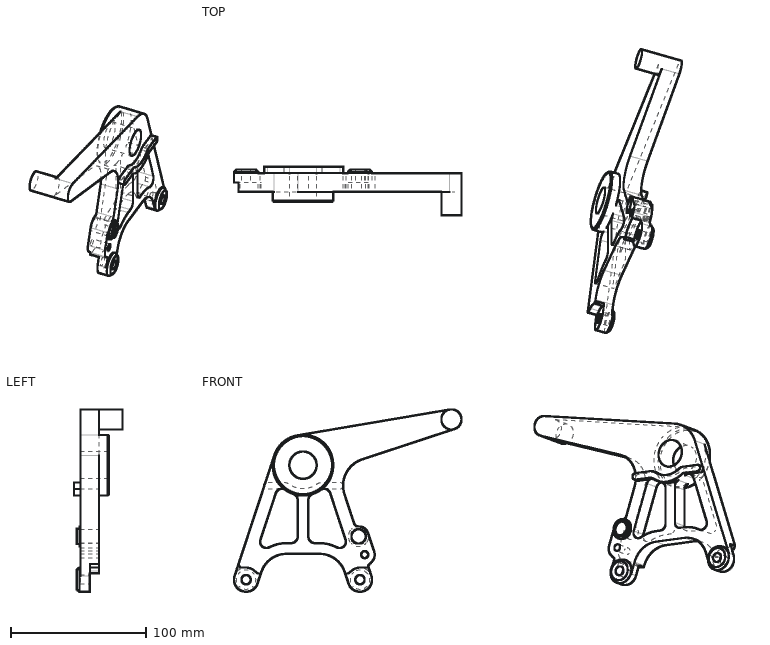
import cadquery as cq
import math


plate_thickness = 14.0
foot_front = -7.0
hub_front = -21.2
pin_front = -31.3
bar_back = 4.7
flange_back = 0.7
boss_back = 2.7

hub_radius = 45.0 / 2
hub_chamfer = 1.0
bore_diameter = 20.0
foot_radius = 18.0 / 2
foot_hole_diameter = 6.7
foot_bevel = 1.9
foot_x = 42.0
foot_z = -84.6
tip_radius = 15.0 / 2
tip = (109.7, 33.8)
hub = (0.0, 0.0)
left_foot = (-foot_x, foot_z)
right_foot = (foot_x, foot_z)

elbow_radius = 20.2
crotch_z = -65.6
crotch_radius = 19.3
leg_width = 10.0
web_width = 8.0
window_fillet = 4.5

ear_radius = 15.0 / 2
ear_top = (41.0, -52.7)
ear_low = (45.6, -66.1)
ear_hole_diameter = 10.5
small_hole_diameter = 5.0
sleeve_diameter = 11.5
ear_top_fillet = 3.0
ear_low_fillet = 1.3
ear_low_angle = -math.pi / 4

step_height = 9.0
step_tip = (8.7, 4.63)
step_flare = (-5.7, 11.5)
step_flare_run = 1.3
step_reach = 15.1
step_arc_end = math.radians(45)

bar_top = -12.8
bar_height = 4.9
bar_half_length = 29.3
bar_offset = 0.5
notch_radius = 17.3
notch_fillet = 6.9


def at(center, radius, angle):
    """Point on a circle, angle in radians from +X toward +Z."""
    return (center[0] + radius * math.cos(angle), center[1] + radius * math.sin(angle))


def prism(sketch, y_from, y_to):
    """Extrude a closed XZ workplane outline between two Y positions."""
    return sketch.extrude(y_from - y_to).translate((0, y_from, 0))


def outline(points, y_from, y_to):
    return prism(cq.Workplane("XZ").polyline(points).close(), y_from, y_to)


def disc(center, radius, y_from, y_to):
    return prism(cq.Workplane("XZ").center(*center).circle(radius), y_from, y_to)


def tangent_angle(c1, r1, c2, r2, side):
    """Angle of the common outer tangent normal; side +1 is left of c1 -> c2."""
    dx, dz = c2[0] - c1[0], c2[1] - c1[1]
    return math.atan2(dz, dx) + side * math.acos((r1 - r2) / math.hypot(dx, dz))


def meet(p, p_angle, q, q_angle):
    """Intersection of two lines given by a point and a direction angle."""
    dx, dz = q[0] - p[0], q[1] - p[1]
    distance = (dx * math.sin(q_angle) - dz * math.cos(q_angle)) / math.sin(q_angle - p_angle)
    return at(p, distance, p_angle)


def mirrored(point):
    return (-point[0], point[1])


def plate_disc(center, radius):
    return disc(center, radius, -plate_thickness, 0)


def round_edge(body, point, radius):
    """Fillet the full-depth edge standing at an XZ point."""
    nearest = cq.selectors.NearestToPointSelector((point[0], -plate_thickness / 2, point[1]))
    return body.edges("|Y").edges(nearest).fillet(radius)


leg_normal = tangent_angle(left_foot, foot_radius, hub, hub_radius, 1)
leg_angle = leg_normal - math.pi / 2
arm_normal = tangent_angle(hub, hub_radius, tip, tip_radius, 1)
arm_low_angle = math.pi / 2 - leg_angle
arm_low_point = at(tip, tip_radius, arm_low_angle - math.pi / 2)

leg_outer_low = at(left_foot, foot_radius, leg_normal)
leg_outer_top = at(hub, hub_radius, leg_normal)
leg_inner_low = at(left_foot, foot_radius, leg_normal + math.pi)
crotch_corner = meet(leg_inner_low, leg_angle, (0, crotch_z), 0)
elbow_corner = meet(arm_low_point, arm_low_angle, mirrored(leg_outer_low), math.pi - leg_angle)


def make_frame():
    frame = outline(
        [
            leg_outer_low,
            leg_outer_top,
            at(hub, hub_radius, arm_normal),
            at(tip, tip_radius, arm_normal),
            arm_low_point,
            elbow_corner,
            mirrored(leg_outer_low),
            mirrored(leg_inner_low),
            mirrored(crotch_corner),
            crotch_corner,
            leg_inner_low,
        ],
        -plate_thickness,
        0,
    )
    frame = round_edge(frame, elbow_corner, elbow_radius)
    for corner in (crotch_corner, mirrored(crotch_corner)):
        frame = round_edge(frame, corner, crotch_radius)
    for center, radius in ((hub, hub_radius), (tip, tip_radius)):
        frame = frame.union(plate_disc(center, radius))
    for foot in (left_foot, right_foot):
        frame = frame.union(plate_disc(foot, foot_radius))
    return frame


def make_ear():
    side = tangent_angle(ear_top, ear_radius, ear_low, ear_radius, 1)
    low_point = at(ear_low, ear_radius, ear_low_angle)
    low_root = at(low_point, 2 * ear_radius, ear_low_angle - math.pi / 2)
    inner_point = at(ear_top, ear_radius, math.pi)
    ear = outline(
        [at(ear_top, ear_radius, side), at(ear_low, ear_radius, side), low_point, low_root, inner_point],
        -plate_thickness,
        0,
    )
    return ear.union(plate_disc(ear_top, ear_radius)).union(plate_disc(ear_low, ear_radius))


def add_ear(frame):
    body = frame.union(make_ear())
    leg_low = mirrored(leg_outer_low)
    out_angle = math.pi - leg_angle

    foot_of_normal = meet(leg_low, out_angle, ear_top, out_angle - math.pi / 2)
    gap = math.hypot(foot_of_normal[0] - ear_top[0], foot_of_normal[1] - ear_top[1])
    top_root = at(foot_of_normal, math.sqrt(ear_radius**2 - gap**2), out_angle)
    low_point = at(ear_low, ear_radius, ear_low_angle)
    low_root = meet(low_point, ear_low_angle - math.pi / 2, leg_low, out_angle)
    body = round_edge(body, top_root, ear_top_fillet)
    return round_edge(body, low_root, ear_low_fillet)


def make_window():
    """Left window, bounded by leg, crotch rib, web and hub."""
    inset = foot_radius - leg_width
    line_point = at(left_foot, inset, leg_normal)
    arc_x = crotch_corner[0] + crotch_radius * math.tan(leg_angle / 2)
    arc_center = (arc_x, crotch_z - crotch_radius)
    arc_radius = crotch_radius + web_width
    rib_top = crotch_z + web_width
    top = meet(line_point, leg_angle, hub, 0)
    web_x = -web_width / 2

    nearest = meet(line_point, leg_angle, arc_center, leg_normal)
    across = math.hypot(nearest[0] - arc_center[0], nearest[1] - arc_center[1]) - window_fillet
    corner_angle = leg_normal - math.acos(across / (arc_radius + window_fillet))
    corner = at(arc_center, arc_radius + window_fillet, corner_angle)
    leg_touch = at(corner, window_fillet, leg_normal)
    arc_touch = at(arc_center, arc_radius, corner_angle)
    corner_middle = at(corner, window_fillet, (leg_normal + corner_angle + math.pi) / 2)
    arc_middle = at(arc_center, arc_radius, (corner_angle + math.pi / 2) / 2)

    sketch = cq.Workplane("XZ").moveTo(*leg_touch).lineTo(*top)
    sketch = sketch.lineTo(web_x, 0).lineTo(web_x, rib_top).lineTo(arc_x, rib_top)
    sketch = sketch.threePointArc(arc_middle, arc_touch)
    sketch = sketch.threePointArc(corner_middle, leg_touch).close()
    window = prism(sketch, -plate_thickness, 0).cut(plate_disc(hub, hub_radius))

    leg_top = at(hub, hub_radius, leg_normal + math.acos((hub_radius - leg_width) / hub_radius))
    web_top = (web_x, -math.sqrt(hub_radius**2 - web_x**2))
    for point in ((web_x, rib_top), web_top, leg_top):
        window = round_edge(window, point, window_fillet)
    return window


def make_foot_step(flared):
    """Cutter that thins the left foot from the front."""
    flare_x, flare_z = step_flare
    blend_start = at((0, 0), step_height, step_arc_end)
    arc_middle = at((0, 0), step_height, (math.pi / 2 + step_arc_end) / 2)
    step = cq.Workplane("XZ").moveTo(-step_reach, -step_reach)
    if flared:
        step = step.lineTo(-step_reach, flare_z).lineTo(flare_x, flare_z)
        step = step.lineTo(flare_x + step_flare_run, step_height)
    else:
        step = step.lineTo(-step_reach, step_height)
    step = step.lineTo(0, step_height)
    step = step.threePointArc(arc_middle, blend_start)
    step = step.lineTo(*step_tip).lineTo(step_reach, step_tip[1]).lineTo(step_reach, -step_reach)
    return prism(step.close(), -plate_thickness, foot_front).translate((-foot_x, 0, foot_z))


def make_foot_boss(foot):
    base = disc(foot, foot_radius, foot_front, flange_back)
    bevel = cq.Solid.makeCone(
        foot_radius,
        foot_radius - foot_bevel,
        boss_back - flange_back,
        pnt=cq.Vector(foot[0], flange_back, foot[1]),
        dir=cq.Vector(0, 1, 0),
    )
    return base.union(cq.Workplane(bevel))


def make_stop_bar():
    """Round-ended bar behind the hub with a filleted notch clearing the bore."""
    end_radius = bar_height / 2
    bar = prism(
        cq.Workplane("XZ").center(bar_offset, bar_top - end_radius).slot2D(2 * bar_half_length, bar_height),
        0,
        bar_back,
    )
    lower_hub = disc(hub, hub_radius, 0, bar_back).intersect(
        cq.Workplane("XY").box(2 * hub_radius, 2 * bar_back, hub_radius).translate(
            (0, 0, bar_top - hub_radius / 2)
        )
    )
    bar = bar.union(lower_hub).cut(disc(hub, notch_radius, 0, bar_back))
    notch_x = math.sqrt(notch_radius**2 - bar_top**2)
    for x in (-notch_x, notch_x):
        nearest = cq.selectors.NearestToPointSelector((x, bar_back / 2, bar_top))
        bar = bar.edges("|Y").edges(nearest).fillet(notch_fillet)
    return bar


body = add_ear(make_frame())

window = make_window()
body = body.cut(window).cut(window.mirror("YZ"))

body = body.cut(make_foot_step(True)).cut(make_foot_step(False).mirror("YZ"))
for foot in (left_foot, right_foot):
    body = body.union(make_foot_boss(foot))

hub_boss = disc(hub, hub_radius, hub_front, 0).faces("<Y").chamfer(hub_chamfer)
body = body.union(hub_boss).union(make_stop_bar())
body = body.union(disc(tip, tip_radius, pin_front, 0))
body = body.union(disc(ear_top, ear_radius, 0, flange_back))
body = body.union(disc(ear_top, sleeve_diameter / 2, 0, boss_back))

holes = [
    (hub, bore_diameter),
    (left_foot, foot_hole_diameter),
    (right_foot, foot_hole_diameter),
    (ear_top, ear_hole_diameter),
    (ear_low, small_hole_diameter),
]
for center, diameter in holes:
    body = body.cut(disc(center, diameter / 2, pin_front, bar_back))

result = body